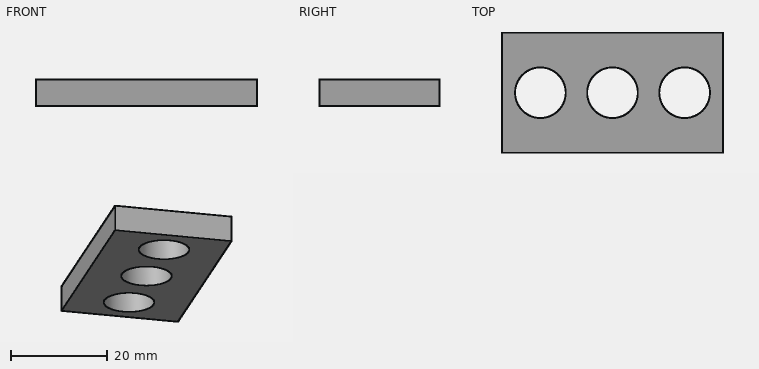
import cadquery as cq

length = 46.0
width = 25.0
thickness = 5.5

hole_diameter = 10.5
hole_pitch = 15.0
hole_count = 3

plate = cq.Workplane("XY").box(length, width, thickness)

result = (
    plate.faces(">Z")
    .workplane()
    .rarray(hole_pitch, width, hole_count, 1)
    .hole(hole_diameter)
)